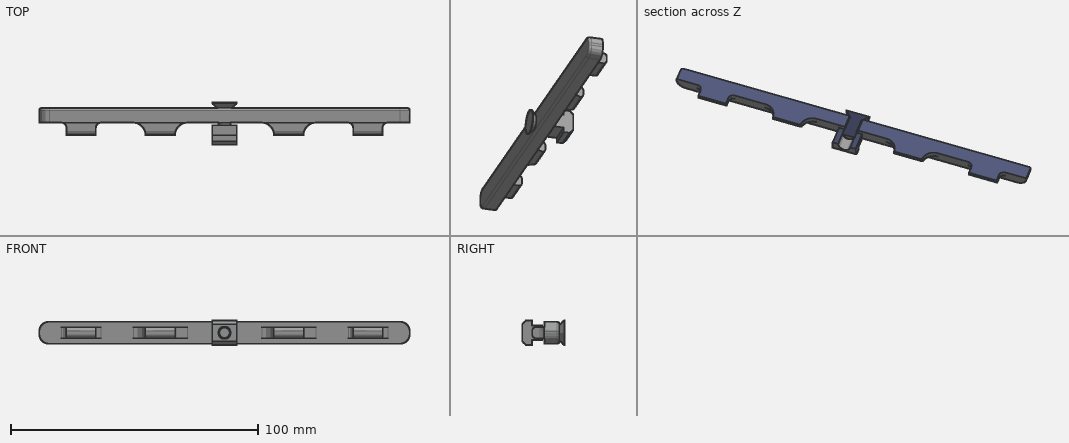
import cadquery as cq
import math


BAR_LENGTH = 150.0
BAR_HEIGHT = 9.0
BAR_THICKNESS = 6.0
BAR_END_RADIUS = 4.0
BAR_BACK_FILLET = 1.0
SCREW_CLEARANCE_DIAMETER = 5.5

LUG_LENGTH = 12.0
LUG_HEIGHT = 4.5
LUG_DEPTH = 5.0
LUG_NOSE_FILLET = 1.5
INNER_LUG_X = 26.0
OUTER_LUG_X = 58.0
INNER_COVE_RADIUS = LUG_DEPTH
OUTER_COVE_RADIUS = 2.0
PLAN_OVERRUN = 1.0

NUT_LENGTH = 10.0
NUT_HEAD_HEIGHT = 10.0
NUT_NECK_HEIGHT = 6.0
NUT_DEPTH = 8.0
NUT_HEAD_DEPTH = 4.0
NUT_CHAMFER = 1.5
NUT_GAP = 1.0

SCREW_DIAMETER = 5.0
SCREW_LENGTH = 12.0
SCREW_HEAD_DIAMETER = 10.0
SCREW_HEAD_RIM = 0.3
SCREW_HEAD_STANDOUT = 2.2
SCREW_TIP_CHAMFER = 0.4

SCREW_RADIUS = SCREW_DIAMETER / 2
SCREW_HEAD_RADIUS = SCREW_HEAD_DIAMETER / 2
SCREW_BACK_Y = BAR_THICKNESS + SCREW_HEAD_STANDOUT
SCREW_TIP_Y = SCREW_BACK_Y - SCREW_LENGTH
CONE_BACK_Y = SCREW_BACK_Y - SCREW_HEAD_RIM
CONE_FRONT_Y = CONE_BACK_Y - (SCREW_HEAD_RADIUS - SCREW_RADIUS)


def make_lug(center_x, cove_radius):
    """Lug with rounded nose edges and concave end roots that run out tangent to the bar face."""
    half_length = LUG_LENGTH / 2
    half_root = half_length + cove_radius
    cove_mid = cove_radius * (1 - math.sqrt(0.5))
    plan_depth = LUG_DEPTH + PLAN_OVERRUN
    plan = (
        cq.Workplane("XY")
        .moveTo(-half_root, 0)
        .threePointArc((-half_length - cove_mid, -cove_mid), (-half_length, -cove_radius))
        .lineTo(-half_length, -plan_depth)
        .lineTo(half_length, -plan_depth)
        .lineTo(half_length, -cove_radius)
        .threePointArc((half_length + cove_mid, -cove_mid), (half_root, 0))
        .close()
        .extrude(LUG_HEIGHT / 2, both=True)
    )
    rounded_rail = (
        cq.Workplane("XY")
        .box(2 * half_root, LUG_DEPTH, LUG_HEIGHT)
        .translate((0, -LUG_DEPTH / 2, 0))
        .faces("<Y")
        .edges("|X")
        .fillet(LUG_NOSE_FILLET)
    )
    return rounded_rail.intersect(plan).translate((center_x, 0, 0))


def make_screw():
    """Countersunk screw turned about the Y axis, head at the back."""
    return (
        cq.Workplane("XY")
        .moveTo(0, SCREW_BACK_Y)
        .lineTo(SCREW_HEAD_RADIUS, SCREW_BACK_Y)
        .lineTo(SCREW_HEAD_RADIUS, CONE_BACK_Y)
        .lineTo(SCREW_RADIUS, CONE_FRONT_Y)
        .lineTo(SCREW_RADIUS, SCREW_TIP_Y + SCREW_TIP_CHAMFER)
        .lineTo(SCREW_RADIUS - SCREW_TIP_CHAMFER, SCREW_TIP_Y)
        .lineTo(0, SCREW_TIP_Y)
        .close()
        .revolve(360, (0, 0, 0), (0, 1, 0))
    )


def make_bar(screw):
    """Bar with rounded ends, a rounded back edge, four lugs and a countersunk screw hole."""
    bar = (
        cq.Workplane("XY")
        .box(BAR_LENGTH, BAR_THICKNESS, BAR_HEIGHT)
        .translate((0, BAR_THICKNESS / 2, 0))
        .edges("|Y")
        .fillet(BAR_END_RADIUS)
        .faces(">Y")
        .edges()
        .fillet(BAR_BACK_FILLET)
    )
    for side in (-1, 1):
        bar = bar.union(make_lug(side * INNER_LUG_X, INNER_COVE_RADIUS))
        bar = bar.union(make_lug(side * OUTER_LUG_X, OUTER_COVE_RADIUS))
    clearance_hole = (
        cq.Workplane("XZ")
        .circle(SCREW_CLEARANCE_DIAMETER / 2)
        .extrude(-BAR_THICKNESS)
    )
    return bar.cut(clearance_hole).cut(screw)


def make_nut():
    """T-nut: narrow neck towards the bar, wide head with chamfered front edges, through hole."""
    back_y = -NUT_GAP
    front_y = back_y - NUT_DEPTH
    neck_depth = NUT_DEPTH - NUT_HEAD_DEPTH
    head = (
        cq.Workplane("XY")
        .box(NUT_LENGTH, NUT_HEAD_DEPTH, NUT_HEAD_HEIGHT)
        .translate((0, front_y + NUT_HEAD_DEPTH / 2, 0))
        .faces("<Y")
        .edges("|X")
        .chamfer(NUT_CHAMFER)
    )
    neck = (
        cq.Workplane("XY")
        .box(NUT_LENGTH, neck_depth, NUT_NECK_HEIGHT)
        .translate((0, back_y - neck_depth / 2, 0))
    )
    hole = (
        cq.Workplane("XZ", origin=(0, back_y, 0))
        .circle(SCREW_RADIUS)
        .extrude(NUT_DEPTH)
    )
    return head.union(neck).cut(hole)


screw = make_screw()
bar = make_bar(screw)
nut = make_nut()

result = cq.Compound.makeCompound([bar.solids().val(), nut.solids().val(), screw.val()])